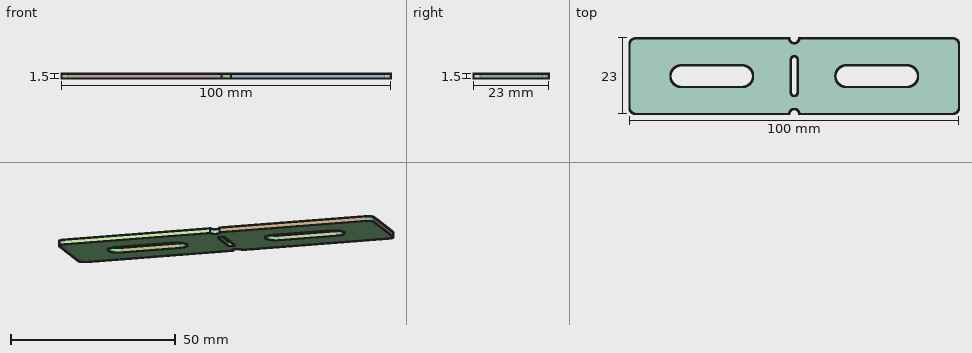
import cadquery as cq

length = 100.0
width = 23.0
thickness = 1.5
corner_radius = 2.0

mount_slot_length = length / 4
mount_slot_width = 6.5
mount_slot_offset = length / 4

center_slot_length = 12.0
center_slot_width = 2.0
notch_radius = 1.5


def make_plate():
    """Rectangular strap with rounded corners, standing on the XY plane."""
    plate = cq.Workplane("XY").box(length, width, thickness, centered=(True, True, False))
    return plate.edges("|Z").fillet(corner_radius)


def cut_mount_slots(plate):
    """Round-ended slots along X, through the strap."""
    centers = [(-mount_slot_offset, 0), (mount_slot_offset, 0)]
    slots = cq.Workplane("XY").pushPoints(centers).slot2D(mount_slot_length, mount_slot_width)
    return plate.cut(slots.extrude(thickness))


def cut_center_slot(plate):
    """Narrow round-ended slot across the middle of the strap."""
    slot = cq.Workplane("XY").slot2D(center_slot_length, center_slot_width, angle=90)
    return plate.cut(slot.extrude(thickness))


def cut_edge_notches(plate):
    """Semicircular notches in both long edges, centered on the edge lines."""
    centers = [(0, -width / 2), (0, width / 2)]
    notches = cq.Workplane("XY").pushPoints(centers).circle(notch_radius)
    return plate.cut(notches.extrude(thickness))


result = make_plate()
result = cut_mount_slots(result)
result = cut_center_slot(result)
result = cut_edge_notches(result)